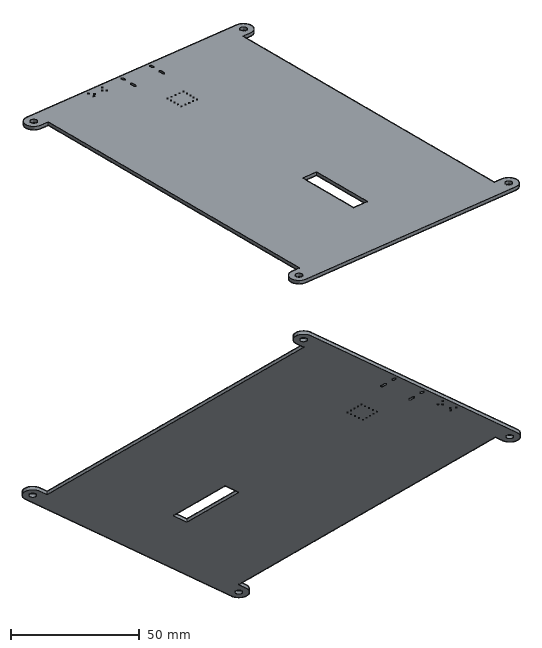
import cadquery as cq

length = 165.1
width = 116.2
thickness = 1.6
lug_radius = 4.1
body_width = 100.4
mount_hole_diameter = 3.0
lug_x = length / 2 - lug_radius
lug_y = width / 2 - lug_radius

window_length = 30.0
window_width = 7.1
window_center = (38.1, -0.3)

ring_hole_diameter = 0.4
ring_side = 8.1
ring_steps = 4
ring_pitch = ring_side / ring_steps
ring_center = (-53.5, 0.8)

slot_width = 1.0
slot_row_center_y = 0.8
slot_row_spacing = 14.7
slots = [(-80.0, 2.0), (-74.1, 3.0)]

socket_center_y = -20.5
peg_hole_diameter = 0.7
socket_pairs = [
    (-80.5, 7.1),
    (-78.8, 4.0),
    (-77.6, 6.6),
]


def through_holes(points, diameter):
    return cq.Workplane("XY").pushPoints(points).circle(diameter / 2).extrude(thickness)


def make_plate():
    plate = cq.Workplane("XY").rect(length, body_width).extrude(thickness)
    for side in (-1, 1):
        lug_strip = (
            cq.Workplane("XY")
            .center(side * lug_x, 0)
            .slot2D(width, 2 * lug_radius, 90)
            .extrude(thickness)
        )
        plate = plate.union(lug_strip)
    mount_points = [(x, y) for x in (-lug_x, lug_x) for y in (-lug_y, lug_y)]
    return plate.cut(through_holes(mount_points, mount_hole_diameter))


def make_window():
    return cq.Workplane("XY").center(*window_center).rect(window_length, window_width).extrude(thickness)


def make_hole_ring():
    center_x, center_y = ring_center
    half_side = ring_side / 2
    border = (0, ring_steps)
    points = [
        (center_x - half_side + column * ring_pitch, center_y - half_side + row * ring_pitch)
        for column in range(ring_steps + 1)
        for row in range(ring_steps + 1)
        if column in border or row in border
    ]
    return through_holes(points, ring_hole_diameter)


def make_slot_rows():
    cutters = cq.Workplane("XY")
    for x, slot_length in slots:
        points = [(x, slot_row_center_y + side * slot_row_spacing / 2) for side in (-1, 1)]
        pair = cq.Workplane("XY").pushPoints(points).slot2D(slot_length, slot_width).extrude(thickness)
        cutters = cutters.add(pair)
    return cutters.combine()


def make_socket_holes():
    cutters = cq.Workplane("XY")
    for x, spacing in socket_pairs:
        points = [(x, socket_center_y + side * spacing / 2) for side in (-1, 1)]
        cutters = cutters.add(through_holes(points, peg_hole_diameter))
    return cutters.combine()


result = (
    make_plate()
    .cut(make_window())
    .cut(make_hole_ring())
    .cut(make_slot_rows())
    .cut(make_socket_holes())
)